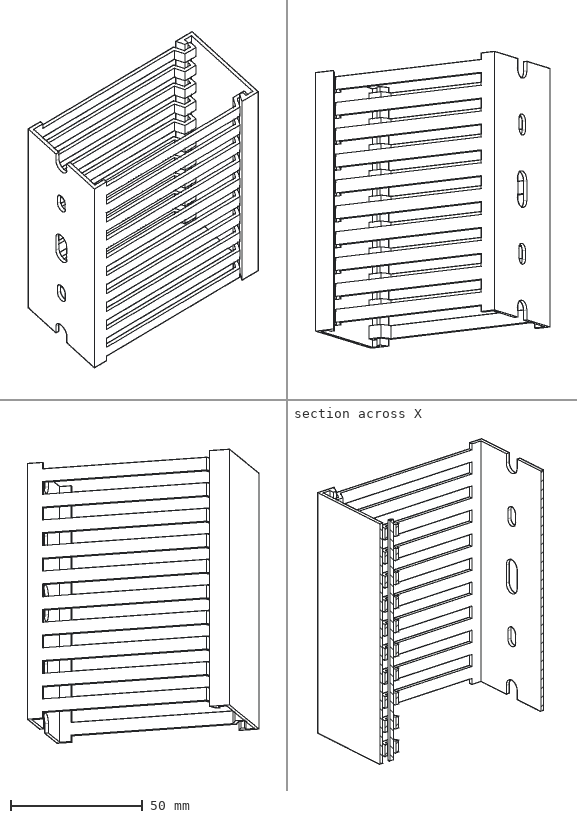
import cadquery as cq

WIDTH = 40.0
DEPTH = 80.0
LENGTH = 100.0

WALL = 1.5
SNAP_SLOPE = 0.5
HALF_WIDTH = WIDTH / 2
INNER_HALF_WIDTH = HALF_WIDTH - WALL

CHANNEL_HEIGHT = 6.0
FINGER_PITCH = 10.0
FINGER_WIDTH = 5.0
FINGER_COUNT = round(LENGTH / FINGER_PITCH)
FINGER_BEND_Y = DEPTH - 9.0
HOOK_TOP_Y = DEPTH - 2.5
HOOK_OUTER_X = HALF_WIDTH - 4.0
HOOK_INNER_X = HOOK_OUTER_X - WALL
HOOK_TIP_X = HALF_WIDTH - 2.0
HOOK_NECK_INNER_Y = DEPTH - 7.9

SLOT_PITCH = 50.0
LARGE_SLOT_LENGTH = 14.0
LARGE_SLOT_WIDTH = 6.5
SMALL_SLOT_LENGTH = 8.0
SMALL_SLOT_WIDTH = 4.5

LID_SKIRT = 8.0
LEDGE_TIP_X = HALF_WIDTH - 3.5
LEDGE_TOP_Y = DEPTH - 4.8


def extrude_profile(points, bottom, height):
    """Extrude a closed XY outline upward along Z from the given level."""
    return cq.Workplane("XY").workplane(offset=bottom).polyline(points).close().extrude(height)


def mirrored_outline(right_half):
    """Complete an outline symmetric about X = 0 from the points of its right half."""
    return right_half + [(-x, y) for x, y in reversed(right_half)]


def make_channel():
    """Shallow U-shaped base with short side walls."""
    return extrude_profile(
        mirrored_outline([
            (HALF_WIDTH, 0),
            (HALF_WIDTH, CHANNEL_HEIGHT),
            (INNER_HALF_WIDTH, CHANNEL_HEIGHT),
            (INNER_HALF_WIDTH, WALL),
        ]),
        0,
        LENGTH,
    )


def make_finger(bottom):
    """Right-hand finger: straight strip, inward bend, neck and outward hook."""
    neck_outer_y = FINGER_BEND_Y + SNAP_SLOPE * (HALF_WIDTH - HOOK_OUTER_X)
    inner_bend_y = HOOK_NECK_INNER_Y - SNAP_SLOPE * (INNER_HALF_WIDTH - HOOK_INNER_X)
    hook_underside_y = HOOK_TOP_Y - WALL
    return extrude_profile(
        [
            (HALF_WIDTH, CHANNEL_HEIGHT),
            (HALF_WIDTH, FINGER_BEND_Y),
            (HOOK_OUTER_X, neck_outer_y),
            (HOOK_OUTER_X, hook_underside_y),
            (HOOK_TIP_X, hook_underside_y),
            (HOOK_TIP_X, HOOK_TOP_Y),
            (HOOK_INNER_X, HOOK_TOP_Y),
            (HOOK_INNER_X, HOOK_NECK_INNER_Y),
            (INNER_HALF_WIDTH, inner_bend_y),
            (INNER_HALF_WIDTH, CHANNEL_HEIGHT),
        ],
        bottom,
        FINGER_WIDTH,
    )


def slot_cutter(center_z, length, width):
    """Obround cutter, long along Z, passing through the base wall."""
    return (
        cq.Workplane("XZ", origin=(0, 0, center_z))
        .slot2D(length, width, 90)
        .extrude(-WALL)
    )


def make_duct():
    """Base channel with its fingers and mounting slots."""
    duct = make_channel()
    for index in range(FINGER_COUNT):
        center_z = (index + 0.5) * FINGER_PITCH
        finger = make_finger(center_z - FINGER_WIDTH / 2)
        duct = duct.union(finger).union(finger.mirror("YZ"))

    slot_gaps = round(LENGTH / SLOT_PITCH)
    for index in range(slot_gaps + 1):
        duct = duct.cut(slot_cutter(index * SLOT_PITCH, LARGE_SLOT_LENGTH, LARGE_SLOT_WIDTH))
    for index in range(slot_gaps):
        midway_z = (index + 0.5) * SLOT_PITCH
        duct = duct.cut(slot_cutter(midway_z, SMALL_SLOT_LENGTH, SMALL_SLOT_WIDTH))
    return duct


def make_lid():
    """Flat lid with side skirts and inward snap ledges that sit under the hooks."""
    skirt_y = DEPTH - LID_SKIRT
    ledge_bottom_y = skirt_y + SNAP_SLOPE * (HALF_WIDTH - LEDGE_TIP_X)
    return extrude_profile(
        mirrored_outline([
            (HALF_WIDTH, DEPTH),
            (HALF_WIDTH, skirt_y),
            (LEDGE_TIP_X, ledge_bottom_y),
            (LEDGE_TIP_X, LEDGE_TOP_Y),
            (INNER_HALF_WIDTH, LEDGE_TOP_Y),
            (INNER_HALF_WIDTH, DEPTH - WALL),
        ]),
        0,
        LENGTH,
    )


duct = make_duct()
lid = make_lid()

result = cq.Compound.makeCompound([duct.val(), lid.val()])